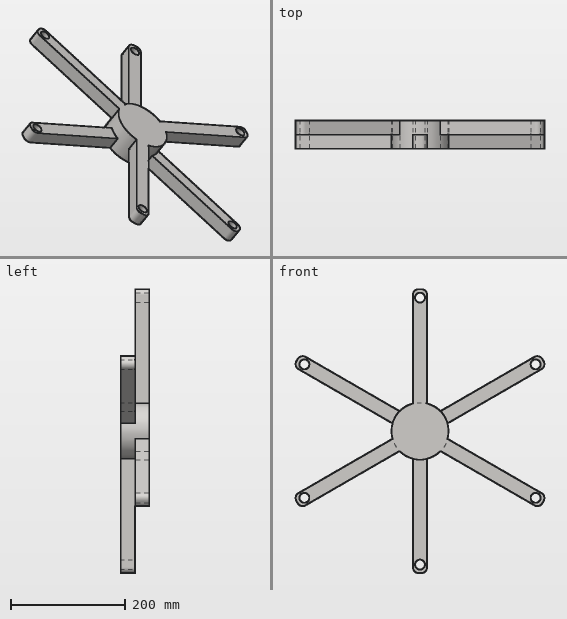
import cadquery as cq
import math

HUB_RADIUS = 50.0
HUB_THICKNESS = 50.0

ARM_WIDTH = 25.0
ARM_LENGTH = 200.0
ARM_THICKNESS = HUB_THICKNESS / 2
ARM_CORNER_RADIUS = 10.0
HOLE_DIAMETER = 17.0
HOLE_TO_TIP = 15.0

FRONT_ARM_ANGLES = (90, 210, 330)
BACK_ARM_ANGLES = (30, 150, 270)

HUB_CHORD_DISTANCE = math.sqrt(HUB_RADIUS**2 - (ARM_WIDTH / 2) ** 2)
TIP_DISTANCE = HUB_CHORD_DISTANCE + ARM_LENGTH
HOLE_DISTANCE = TIP_DISTANCE - HOLE_TO_TIP

FRONT_FACE_Y = -HUB_THICKNESS / 2
MIDDLE_Y = FRONT_FACE_Y + ARM_THICKNESS


def slab_plane(y):
    """Plane facing +Y at the given Y, with its local x axis along global X."""
    return cq.Plane(origin=(0, y, 0), xDir=(1, 0, 0), normal=(0, 1, 0))


def make_hub():
    return cq.Workplane(slab_plane(FRONT_FACE_Y)).circle(HUB_RADIUS).extrude(HUB_THICKNESS)


def make_arm(angle, start_y):
    """Arm from the hub centre, turned from +X toward +Z, with rounded tip corners and a hole."""
    bar = (
        cq.Workplane(slab_plane(start_y))
        .center(TIP_DISTANCE / 2, 0)
        .rect(TIP_DISTANCE, ARM_WIDTH)
        .extrude(ARM_THICKNESS)
        .faces(">X")
        .edges("|Y")
        .fillet(ARM_CORNER_RADIUS)
    )
    hole = (
        cq.Workplane(slab_plane(start_y))
        .center(HOLE_DISTANCE, 0)
        .circle(HOLE_DIAMETER / 2)
        .extrude(ARM_THICKNESS)
    )
    return bar.cut(hole).rotate((0, 0, 0), (0, 1, 0), -angle)


result = make_hub()
for arm_angle in FRONT_ARM_ANGLES:
    result = result.union(make_arm(arm_angle, FRONT_FACE_Y))
for arm_angle in BACK_ARM_ANGLES:
    result = result.union(make_arm(arm_angle, MIDDLE_Y))